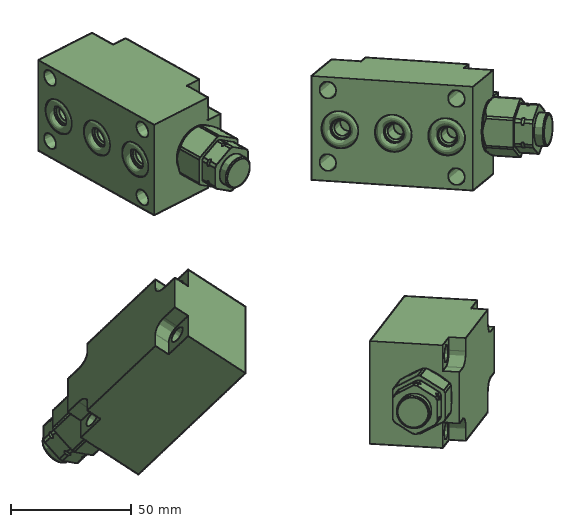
import math

import cadquery as cq

BODY_LENGTH = 69.85
BODY_DEPTH = 38.1
BODY_HEIGHT = 44.45

HOLE_DIAMETER = 7.14
HOLE_END_INSET = 7.14
HOLE_EDGE_INSET = 5.56
LOWER_LEFT_HOLE_HEIGHT = 7.94
SPOT_FACE_RADIUS = 5.56
SPOT_FACE_DEPTH = 7.14

PORT_FIRST_X = 12.3
PORT_PITCH = 23.06
PORT_COUNT = 3
PORT_HEIGHT = BODY_HEIGHT / 2
PORT_DIAMETER = 6.7
PORT_DEPTH = 12.7
PORT_CHAMFER = 0.85
SEAT_DEPTH = 2.7
SEAT_MOUTH_RADIUS = 7.94

RING_MEAN_RADIUS = 6.17
RING_SECTION_RADIUS = 1.78
RING_PROTRUSION = 0.8
RING_CENTRE_DEPTH = RING_SECTION_RADIUS - RING_PROTRUSION

CARTRIDGE_Y = 23.81
CARTRIDGE_Z = BODY_HEIGHT / 2
LARGE_HEX_FLATS = 22.225
LARGE_HEX_CORNER_RADIUS = 12.52
LARGE_HEX_END = 13.76
WASHER_FACE_RADIUS = 10.9
WASHER_FACE_THICKNESS = 0.45
SMALL_HEX_FLATS = 18.95
SMALL_HEX_CORNER_RADIUS = 10.5
SMALL_HEX_END = 21.7
GROOVE_STATION = 17.4
GROOVE_SECTION_RADIUS = 0.8
GROOVE_FLOOR_RADIUS = 10.15
STEM_RADIUS = 7.0
STEM_CHAMFER = 0.55
STEM_END = 25.86


def cylinder_along_y(x, z, radius, start, length):
    """Cylinder pointing in +Y from Y = start."""
    return cq.Workplane(cq.Solid.makeCylinder(radius, length, cq.Vector(x, start, z), cq.Vector(0, 1, 0)))


def make_body():
    """Block with four mounting holes and their corner spot faces."""
    body = cq.Workplane("XY").box(BODY_LENGTH, BODY_DEPTH, BODY_HEIGHT, centered=False)
    right_x = BODY_LENGTH - HOLE_END_INSET
    upper_z = BODY_HEIGHT - HOLE_EDGE_INSET
    holes = [
        (HOLE_END_INSET, LOWER_LEFT_HOLE_HEIGHT),
        (HOLE_END_INSET, upper_z),
        (right_x, HOLE_EDGE_INSET),
        (right_x, upper_z),
    ]
    for x, z in holes:
        corner_x = 0 if x < BODY_LENGTH / 2 else BODY_LENGTH
        corner_z = 0 if z < BODY_HEIGHT / 2 else BODY_HEIGHT
        body = body.cut(cylinder_along_y(x, z, HOLE_DIAMETER / 2, 0, BODY_DEPTH))
        body = body.cut(make_spot_face(x, z, corner_x, corner_z))
    return body


def make_spot_face(x, z, corner_x, corner_z):
    """Corner notch in the back face, its inner corner rounded about the hole centre (x, z)."""
    toward_middle_x = math.copysign(SPOT_FACE_RADIUS, x - corner_x)
    toward_middle_z = math.copysign(SPOT_FACE_RADIUS, z - corner_z)
    inner_x = x + toward_middle_x
    inner_z = z + toward_middle_z
    arc_middle = (
        x + toward_middle_x * math.sqrt(0.5),
        z + toward_middle_z * math.sqrt(0.5),
    )
    return (
        cq.Workplane("XZ", origin=(0, BODY_DEPTH, 0))
        .moveTo(corner_x, corner_z)
        .lineTo(inner_x, corner_z)
        .lineTo(inner_x, z)
        .threePointArc(arc_middle, (x, inner_z))
        .lineTo(corner_x, inner_z)
        .close()
        .extrude(SPOT_FACE_DEPTH)
    )


def make_port_cavity(x):
    """Blind port: shallow wide mouth, flat ring seat, chamfered edge and bore."""
    port_radius = PORT_DIAMETER / 2
    return (
        cq.Workplane("XY", origin=(x, 0, PORT_HEIGHT))
        .moveTo(0, 0)
        .lineTo(SEAT_MOUTH_RADIUS, 0)
        .lineTo(SEAT_MOUTH_RADIUS, RING_CENTRE_DEPTH)
        .lineTo(RING_MEAN_RADIUS, RING_CENTRE_DEPTH)
        .lineTo(RING_MEAN_RADIUS, SEAT_DEPTH)
        .lineTo(port_radius + PORT_CHAMFER, SEAT_DEPTH)
        .lineTo(port_radius, SEAT_DEPTH + PORT_CHAMFER)
        .lineTo(port_radius, PORT_DEPTH)
        .lineTo(0, PORT_DEPTH)
        .close()
        .revolve(360, (0, 0, 0), (0, 1, 0))
    )


def make_ring(x):
    """O-ring seated in the port at x."""
    centre = cq.Vector(x, RING_CENTRE_DEPTH, PORT_HEIGHT)
    return cq.Workplane(cq.Solid.makeTorus(RING_MEAN_RADIUS, RING_SECTION_RADIUS, centre, cq.Vector(0, 1, 0)))


def revolve_about_cartridge(outline):
    """Solid of revolution from (station, radius) points about the cartridge axis."""
    return (
        cq.Workplane("XY", origin=(BODY_LENGTH, CARTRIDGE_Y, CARTRIDGE_Z))
        .polyline(outline)
        .close()
        .revolve(360, (0, 0, 0), (1, 0, 0))
    )


def make_hex_prism(across_flats, start, end):
    """Hexagonal prism on the cartridge axis with corners pointing up and down."""
    across_corners = across_flats / math.cos(math.pi / 6)
    axis_origin = (BODY_LENGTH + start, CARTRIDGE_Y, CARTRIDGE_Z)
    return (
        cq.Workplane("YZ", origin=axis_origin)
        .transformed(rotate=(0, 0, 90))
        .polygon(6, across_corners)
        .extrude(end - start)
    )


def make_large_hex():
    """Wrench hexagon with turned corners, a 45 degree chamfer and a washer face."""
    chamfer_end = WASHER_FACE_THICKNESS + LARGE_HEX_CORNER_RADIUS - WASHER_FACE_RADIUS
    turned_blank = revolve_about_cartridge([
        (0, 0),
        (0, WASHER_FACE_RADIUS),
        (WASHER_FACE_THICKNESS, WASHER_FACE_RADIUS),
        (chamfer_end, LARGE_HEX_CORNER_RADIUS),
        (LARGE_HEX_END, LARGE_HEX_CORNER_RADIUS),
        (LARGE_HEX_END, 0),
    ])
    return turned_blank.intersect(make_hex_prism(LARGE_HEX_FLATS, 0, LARGE_HEX_END))


def make_small_hex():
    """Adjusting hexagon with turned corners and a round-bottomed groove across them."""
    turned_blank = revolve_about_cartridge([
        (LARGE_HEX_END, 0),
        (LARGE_HEX_END, SMALL_HEX_CORNER_RADIUS),
        (SMALL_HEX_END, SMALL_HEX_CORNER_RADIUS),
        (SMALL_HEX_END, 0),
    ])
    groove_centre = cq.Vector(BODY_LENGTH + GROOVE_STATION, CARTRIDGE_Y, CARTRIDGE_Z)
    groove = cq.Solid.makeTorus(
        GROOVE_FLOOR_RADIUS + GROOVE_SECTION_RADIUS,
        GROOVE_SECTION_RADIUS,
        groove_centre,
        cq.Vector(1, 0, 0),
    )
    hexagon = make_hex_prism(SMALL_HEX_FLATS, LARGE_HEX_END, SMALL_HEX_END)
    return turned_blank.intersect(hexagon).cut(cq.Workplane(groove))


def make_stem():
    """Round stem with a chamfered end."""
    return revolve_about_cartridge([
        (SMALL_HEX_END, 0),
        (SMALL_HEX_END, STEM_RADIUS),
        (STEM_END - STEM_CHAMFER, STEM_RADIUS),
        (STEM_END, STEM_RADIUS - STEM_CHAMFER),
        (STEM_END, 0),
    ])


result = make_body()
for port_index in range(PORT_COUNT):
    port_x = PORT_FIRST_X + port_index * PORT_PITCH
    result = result.cut(make_port_cavity(port_x)).union(make_ring(port_x))
result = result.union(make_large_hex()).union(make_small_hex()).union(make_stem())